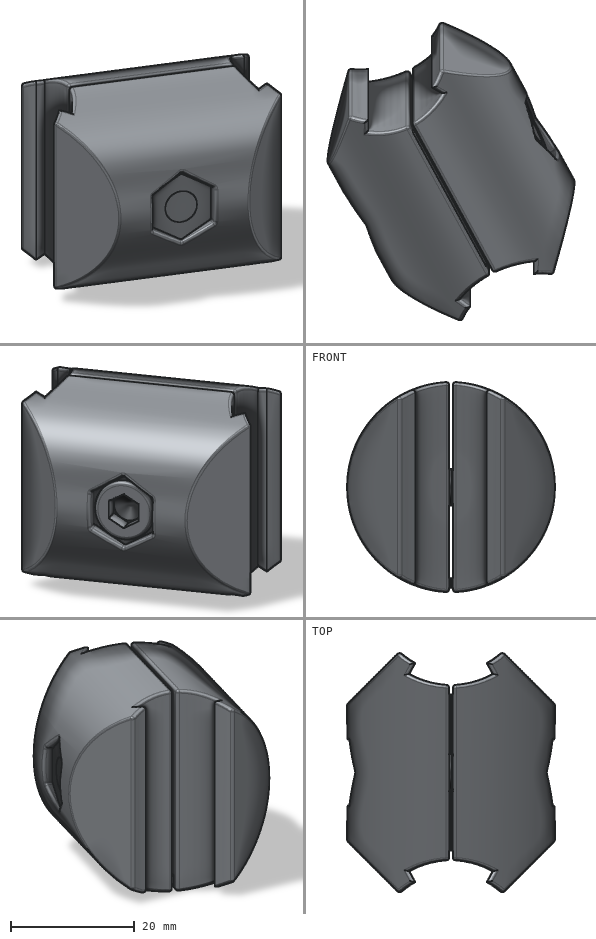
import cadquery as cq
import math

body_radius = 17.0
axis_offset = 0.2
half_gap = 0.3
bevel_reach = 28.0
edge_fillet = 0.5

lip_radius = 12.5
seat_radius = 14.5
seat_centre_y = 28.65
lip_angle = math.radians(28.5)

ridge_length = 25.3
ridge_gap = 0.05
ridge_bottom = -16.3
ridge_top = -14.65
ridge_fillet = 0.25

pick = 0.1

recess_flats = 10.45
head_recess_floor = 14.3
rim_fillet = 0.5
recess_fillet = 0.4

head_face = 15.2
head_radius = 5.0
head_height = 6.0
head_fillet = 0.6
shank_radius = 3.0
shank_end = 0.1
thread_radius = 2.7
socket_flats = 5.05
socket_depth = 2.8
socket_cone_radius = 2.5
socket_tip_angle = math.radians(59)

nut_flats = 10.0
nut_face = head_face
nut_height = 5.0


def hex_prism(flats, x_start, x_end):
    """Hexagonal bar along X, with corners pointing along Z."""
    corner = flats / math.sqrt(3)
    points = [
        (corner * math.sin(math.radians(60 * i)), corner * math.cos(math.radians(60 * i)))
        for i in range(6)
    ]
    return cq.Workplane("YZ", origin=(x_start, 0, 0)).polyline(points).close().extrude(x_end - x_start)


def round_bar(radius, x_start, x_end):
    """Round bar along X."""
    return cq.Workplane("YZ", origin=(x_start, 0, 0)).circle(radius).extrude(x_end - x_start)


def seat_point(radius, angle, side):
    """Point on a circle about the seat centre; the angle runs from Y toward -X."""
    x = axis_offset - radius * math.sin(angle)
    y = seat_centre_y - radius * math.cos(angle)
    return (x, side * y)


def lip_tip_angle():
    """Angle at which the lip circle meets the 45 degree end face."""
    drop = (bevel_reach - seat_centre_y) / (lip_radius * math.sqrt(2))
    return math.pi / 4 + math.asin(drop)


def upright_pair(radius):
    """Selects the two upright edges where the lip sides meet a circle about the seat centre."""
    x, y = seat_point(radius, lip_angle, 1)
    return cq.selectors.BoxSelector((x - pick, -y - pick, -pick), (x + pick, y + pick, pick))


def plain_half():
    """The -X half with its rounded edges, before the ridge and the screw recess."""
    inner_angle = math.asin((half_gap + axis_offset) / seat_radius)
    tip_angle = lip_tip_angle()
    seat_middle = (inner_angle + lip_angle) / 2
    lip_middle = (tip_angle + lip_angle) / 2
    outer_x = axis_offset - body_radius
    outer_y = bevel_reach - body_radius
    profile = (
        cq.Workplane("XY")
        .moveTo(*seat_point(seat_radius, inner_angle, 1))
        .threePointArc(seat_point(seat_radius, seat_middle, 1), seat_point(seat_radius, lip_angle, 1))
        .lineTo(*seat_point(lip_radius, lip_angle, 1))
        .threePointArc(seat_point(lip_radius, lip_middle, 1), seat_point(lip_radius, tip_angle, 1))
        .lineTo(outer_x, outer_y)
        .lineTo(outer_x, -outer_y)
        .lineTo(*seat_point(lip_radius, tip_angle, -1))
        .threePointArc(seat_point(lip_radius, lip_middle, -1), seat_point(lip_radius, lip_angle, -1))
        .lineTo(*seat_point(seat_radius, lip_angle, -1))
        .threePointArc(seat_point(seat_radius, seat_middle, -1), seat_point(seat_radius, inner_angle, -1))
        .close()
        .extrude(body_radius, both=True)
    )
    cylinder = (
        cq.Workplane("XZ", origin=(axis_offset, 0, 0))
        .circle(body_radius)
        .extrude(2 * body_radius, both=True)
    )
    half = profile.intersect(cylinder)

    sharp_edges = upright_pair(lip_radius) + upright_pair(seat_radius)
    return half.edges(cq.selectors.InverseSelector(sharp_edges)).fillet(edge_fillet)


def stop_ridge():
    """Low ridge on the inner face of the -X half, ending just short of the parting plane."""
    root_x = -half_gap - edge_fillet
    ridge = cq.Workplane("XY").box(
        -ridge_gap - root_x, ridge_length, ridge_top - ridge_bottom, centered=(False, True, False)
    )
    return ridge.translate((root_x, 0, ridge_bottom)).faces(">X").edges().fillet(ridge_fillet)


def recessed_half(recess_floor):
    """The -X half with a hexagonal recess down to recess_floor, its rim still sharp."""
    recess = hex_prism(recess_flats, -body_radius, -recess_floor)
    return plain_half().union(stop_ridge()).cut(recess)


def round_recess_rim(half):
    """Round the edges where the recess breaks the cylinder."""
    corner = recess_flats / math.sqrt(3)
    rim_inner_x = axis_offset - math.sqrt(body_radius**2 - corner**2)
    rim = cq.selectors.BoxSelector((-body_radius, -corner, -corner), (rim_inner_x, corner, corner))
    return half.edges(rim).fillet(rim_fillet)


def recess_corners(half, recess_floor):
    """The six edges along X where the walls of the recess meet."""
    corner = recess_flats / math.sqrt(3)
    reach = corner + pick
    bounds = cq.selectors.BoxSelector((-body_radius, -reach, -reach), (-recess_floor, reach, reach))
    return half.edges("|X").edges(bounds)


def head_recess_floor_edges(half):
    """The floor edges of the head recess along the +Y wall and the wall above it."""
    apothem = recess_flats / 2
    wall_angle = math.radians(30)
    upper_wall = (-head_recess_floor, apothem * math.sin(wall_angle), apothem * math.cos(wall_angle))
    side_wall = (-head_recess_floor, apothem, 0)
    return half.edges(cq.selectors.NearestToPointSelector(side_wall)).add(
        half.edges(cq.selectors.NearestToPointSelector(upper_wall))
    )


def head_half():
    """The -X half, which takes the screw head."""
    half = recessed_half(head_recess_floor)
    rounded_edges = recess_corners(half, head_recess_floor).add(head_recess_floor_edges(half))
    half = round_recess_rim(rounded_edges.fillet(recess_fillet))
    head_bore = round_bar(head_radius, -body_radius, head_height - head_face)
    shank_hole = round_bar(shank_radius, -body_radius, 0)
    return half.cut(head_bore).cut(shank_hole)


def nut_half():
    """The +X half, the same shape turned half a turn about Z, with a deeper recess for the nut."""
    nut_floor = nut_face - nut_height
    half = recessed_half(nut_floor)
    half = round_recess_rim(recess_corners(half, nut_floor).fillet(recess_fillet))
    screw_hole = round_bar(shank_radius, -body_radius, 0)
    return half.cut(screw_hole).rotate((0, 0, 0), (0, 0, 1), 180)


def socket_screw():
    """Screw along X, with a hexagon socket that ends in a cone."""
    head = round_bar(head_radius, -head_face, head_height - head_face).faces("<X").edges().fillet(head_fillet)
    shank = round_bar(shank_radius, head_height - head_face, shank_end)
    thread = round_bar(thread_radius, shank_end, nut_face)

    socket_bottom = socket_depth - head_face
    cone_height = socket_cone_radius / math.tan(socket_tip_angle)
    socket_cone = cq.Workplane(
        cq.Solid.makeCone(
            socket_cone_radius, 0, cone_height, pnt=cq.Vector(socket_bottom, 0, 0), dir=cq.Vector(1, 0, 0)
        )
    )
    socket = hex_prism(socket_flats, -head_face, socket_bottom)
    return head.union(shank).union(thread).cut(socket).cut(socket_cone)


def hex_nut():
    """Nut seated on the floor of the +X recess."""
    nut = hex_prism(nut_flats, nut_face - nut_height, nut_face)
    return nut.cut(round_bar(thread_radius, 0, nut_face))


left_clamp = head_half()
right_clamp = nut_half()
screw = socket_screw()
nut = hex_nut()

result = cq.Compound.makeCompound([left_clamp.val(), right_clamp.val(), screw.val(), nut.val()])